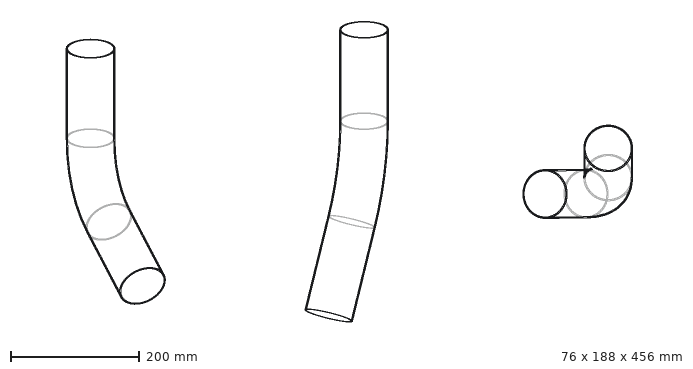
import cadquery as cq
import math

outer_diameter = 76.0
inner_diameter = 72.0
total_height = 456.0
bend_radius = 307.5
bend_angle = 30.0

angle = math.radians(bend_angle)
bend_height = bend_radius * math.sin(angle)
end_rim_drop = outer_diameter / 2 * math.sin(angle)
leg_length = (total_height - bend_height - end_rim_drop) / (1 + math.cos(angle))


def bend_point(turn):
    """Centreline point (y, z) after turning from the vertical upper leg."""
    y = bend_radius * (1 - math.cos(turn))
    z = -bend_radius * math.sin(turn)
    return y, z


bend_end_y, bend_end_z = bend_point(angle)
lower_end = (
    bend_end_y + leg_length * math.sin(angle),
    bend_end_z - leg_length * math.cos(angle),
)
centreline = (
    cq.Workplane("YZ")
    .moveTo(0, leg_length)
    .lineTo(0, 0)
    .threePointArc(bend_point(angle / 2), (bend_end_y, bend_end_z))
    .lineTo(*lower_end)
)

result = (
    cq.Workplane("XY", origin=(0, 0, leg_length))
    .circle(outer_diameter / 2)
    .circle(inner_diameter / 2)
    .sweep(centreline)
)